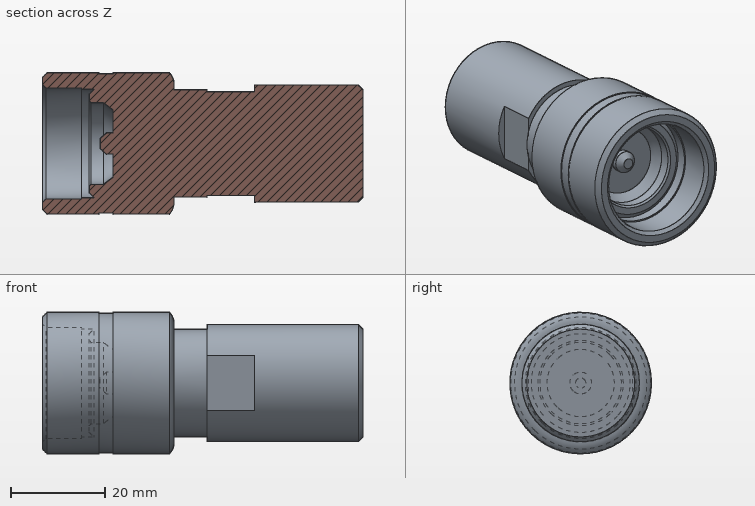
import cadquery as cq

length = 67.9
sleeve_radius = 15.0
sleeve_length = 27.9
shoulder_radius = 12.55
neck_radius = 11.4
body_radius = 12.4
body_start = 34.9
edge_chamfer = 1.0

band_start = 11.95
band_width = 3.05
band_depth = 0.2

flat_length = 10.0
flat_spacing = 22.0

mouth_radius = 12.5
bore_radius = 11.75
mouth_chamfer = mouth_radius - bore_radius
bore_depth = 8.3
recess_radius = 11.5
ring_front = 9.9
ring_outer_radius = 10.45
ring_slope = recess_radius - ring_outer_radius
ring_mouth_radius = 9.0
ring_bore_radius = 8.6
ring_chamfer = ring_mouth_radius - ring_bore_radius
cone_start = 12.9
cone_end_radius = 7.1
floor_depth = 14.95

pin_radius = 2.3
pin_tip_radius = 1.1
pin_tip_start = 12.2
pin_tip_length = 1.35


def turned(points):
    """Revolve a closed (x, radius) outline about the X axis."""
    return cq.Workplane("XY").polyline(points).close().revolve(360, (0, 0, 0), (1, 0, 0))


def sleeve_shape():
    """Sleeve with a chamfered mouth and a rear edge curving smoothly into its end face."""
    profile = (
        cq.Workplane("XY")
        .moveTo(0, 0)
        .lineTo(sleeve_length, 0)
        .lineTo(sleeve_length, shoulder_radius)
        .tangentArcPoint((sleeve_length - edge_chamfer, sleeve_radius), relative=False)
        .lineTo(edge_chamfer, sleeve_radius)
        .lineTo(0, sleeve_radius - edge_chamfer)
        .close()
    )
    return profile.revolve(360, (0, 0, 0), (1, 0, 0))


def outer_shape():
    sleeve = sleeve_shape()
    neck = cq.Workplane("YZ").circle(neck_radius).extrude(body_start)
    body = cq.Workplane("YZ", origin=(body_start, 0, 0)).circle(body_radius).extrude(length - body_start)
    body = body.faces(">X").edges().chamfer(edge_chamfer)
    return sleeve.union(neck).union(body)


def band_cutter():
    outline = cq.Workplane("YZ", origin=(band_start, 0, 0)).circle(sleeve_radius + 0.7)
    return outline.circle(sleeve_radius - band_depth).extrude(band_width)


def flat_cutter(side):
    """Block that leaves a wrench flat on the +Y (side = 1) or -Y (side = -1) face of the body."""
    block = cq.Workplane("XY").box(flat_length, body_radius, 2 * body_radius)
    centre_y = side * (flat_spacing + body_radius) / 2
    return block.translate((body_start + flat_length / 2, centre_y, 0))


def socket_cutter():
    return turned([
        (0, 0),
        (0, mouth_radius),
        (mouth_chamfer, bore_radius),
        (bore_depth, bore_radius),
        (bore_depth, recess_radius),
        (ring_front + ring_slope, recess_radius),
        (ring_front, ring_outer_radius),
        (ring_front, ring_mouth_radius),
        (ring_front + ring_chamfer, ring_bore_radius),
        (cone_start, ring_bore_radius),
        (floor_depth, cone_end_radius),
        (floor_depth, 0),
    ])


def contact_pin():
    return turned([
        (pin_tip_start, 0),
        (pin_tip_start, pin_tip_radius),
        (pin_tip_start + pin_tip_length, pin_radius),
        (floor_depth, pin_radius),
        (floor_depth, 0),
    ])


result = outer_shape().cut(band_cutter())
for side in (1, -1):
    result = result.cut(flat_cutter(side))
result = result.cut(socket_cutter()).union(contact_pin())